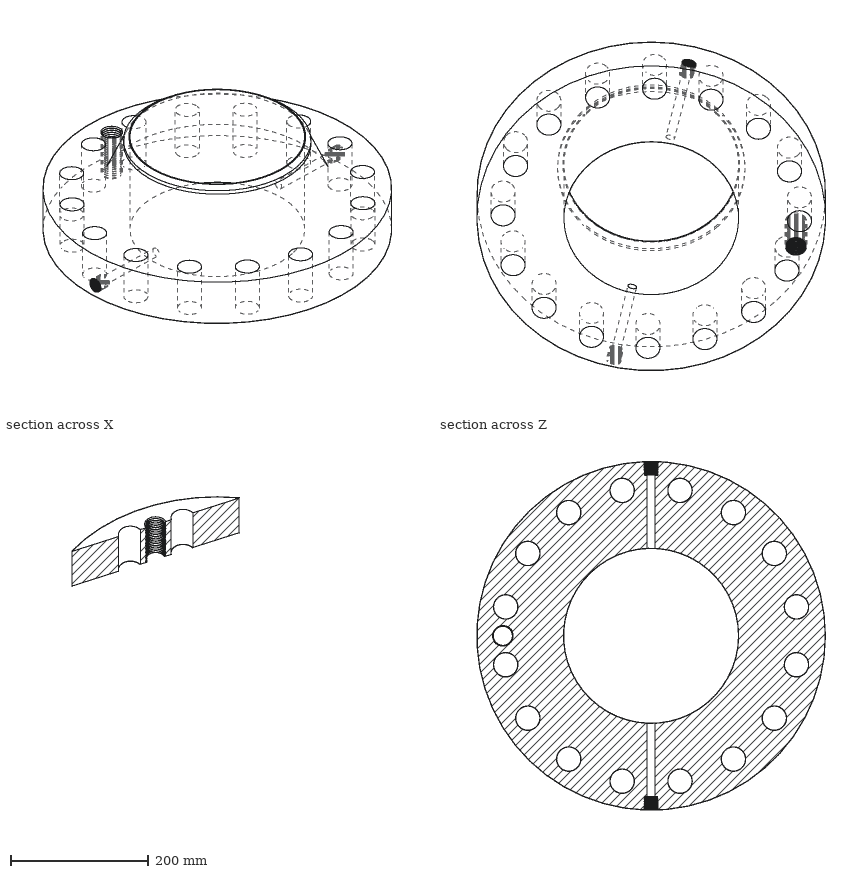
import cadquery as cq
import math

flange_diameter = 508.0
flange_thickness = 71.42
overall_height = 160.32

bore_diameter = 254.5
hub_base_diameter = 343.0
hub_base_fillet = 3.0
weld_end_diameter = 273.1
weld_land_width = 1.6
weld_bevel_angle = 37.5
weld_end_straight = 6.0

bolt_circle_diameter = 431.8
bolt_hole_diameter = 35.0
bolt_count = 16

jack_minor_diameter = 27.8
jack_major_diameter = 31.75
jack_pitch = 25.4 / 7

tap_height = 19.0
tap_drill_diameter = 12.7
tap_mouth_minor_diameter = 19.0
tap_mouth_major_diameter = 21.34
tap_thread_pitch = 25.4 / 14
tap_thread_turns = 11
tap_taper = 1 / 16


def make_body():
    """Revolved flange disc with its conical hub and bevelled weld end."""
    bore_radius = bore_diameter / 2
    weld_radius = weld_end_diameter / 2
    land_radius = bore_radius + weld_land_width
    bevel_height = (weld_radius - land_radius) * math.tan(math.radians(weld_bevel_angle))
    bevel_bottom = overall_height - bevel_height
    profile = (
        cq.Workplane("XZ")
        .moveTo(bore_radius, 0)
        .lineTo(flange_diameter / 2, 0)
        .lineTo(flange_diameter / 2, flange_thickness)
        .lineTo(hub_base_diameter / 2, flange_thickness)
        .lineTo(weld_radius, bevel_bottom - weld_end_straight)
        .lineTo(weld_radius, bevel_bottom)
        .lineTo(land_radius, overall_height)
        .lineTo(bore_radius, overall_height)
        .close()
    )
    body = profile.revolve(360, (0, 0, 0), (0, 1, 0))
    second_largest_circle = cq.selectors.RadiusNthSelector(-2)
    hub_base_edge = body.edges("%CIRCLE").edges(second_largest_circle)
    return hub_base_edge.fillet(hub_base_fillet)


def make_bolt_holes():
    """Through holes evenly spaced on the bolt circle."""
    half_step = 180 / bolt_count
    return (
        cq.Workplane("XY")
        .polarArray(bolt_circle_diameter / 2, half_step, 360, bolt_count)
        .circle(bolt_hole_diameter / 2)
        .extrude(flange_thickness)
    )


def make_thread_cutter(minor_radius, major_radius, pitch, turns, taper=0.0):
    """Stack of V-shaped rings about +Z from Z = 0, narrowing upward by the taper."""
    radius_step = pitch * taper / 2
    profile = cq.Workplane("XZ").moveTo(0, 0).lineTo(major_radius, 0)
    for turn in range(turns):
        shrink = radius_step * turn
        profile = profile.lineTo(minor_radius - shrink - radius_step / 2, pitch * (turn + 0.5))
        profile = profile.lineTo(major_radius - shrink - radius_step, pitch * (turn + 1))
    return profile.lineTo(0, pitch * turns).close().revolve(360, (0, 0, 0), (0, 1, 0))


def make_jack_screw_hole():
    """Threaded hole through the disc, with a full thread starting at its top face."""
    turns = math.ceil(flange_thickness / jack_pitch)
    thread = make_thread_cutter(jack_minor_diameter / 2, jack_major_diameter / 2, jack_pitch, turns)
    lowest = flange_thickness - jack_pitch * turns
    return thread.translate((-bolt_circle_diameter / 2, 0, lowest))


def make_pressure_tap():
    """Tap on the -Y side of the rim, reaching the bore."""
    thread = make_thread_cutter(
        tap_mouth_minor_diameter / 2,
        tap_mouth_major_diameter / 2,
        tap_thread_pitch,
        tap_thread_turns,
        tap_taper,
    )
    drilling = cq.Workplane("XY").circle(tap_drill_diameter / 2).extrude(flange_diameter / 2)
    tap = thread.union(drilling)
    return tap.rotate((0, 0, 0), (1, 0, 0), -90).translate((0, -flange_diameter / 2, tap_height))


pressure_tap = make_pressure_tap()
result = (
    make_body()
    .cut(make_bolt_holes())
    .cut(make_jack_screw_hole())
    .cut(pressure_tap)
    .cut(pressure_tap.rotate((0, 0, 0), (0, 0, 1), 180))
)